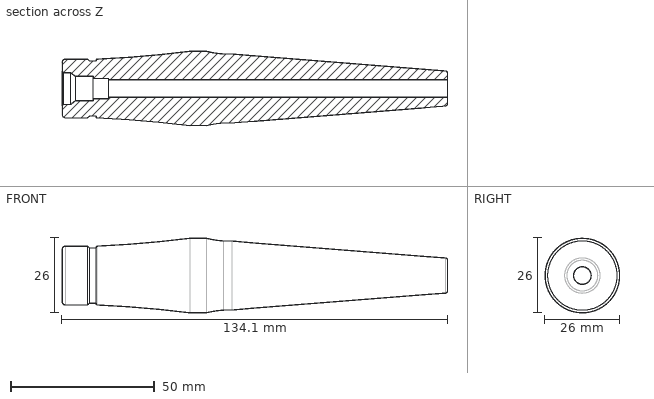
import cadquery as cq

length = 134.1
belly_radius = 26.0 / 2

collar_radius = 20.5 / 2
collar_rounding = 1.1
groove_radius = 19.3 / 2
groove_depth = collar_radius - groove_radius
collar_end = 8.8
groove_end = 11.8
groove_edge_rounding = 0.4
edge_search_margin = 0.1

belly_start = 44.4
belly_end = 50.1
neck_radius = 24.1 / 2
neck_start = 56.2
neck_end = 59.0
rear_flare_sag = 0.34
front_flare_sag = 0.1

tip_radius = 12.2 / 2
tip_rounding = 0.8

mouth_radius = 11.0 / 2
mouth_chamfer = 0.4
mouth_depth = 3.0
cone_end = 4.5
seat_radius = 8.5 / 2
seat_end = 10.7
step_radius = 7.0 / 2
step_end = 16.1
bore_radius = 6.0 / 2


def midpoint_with_sag(start, end, sag):
    """Point halfway between two outline points, moved towards the axis by sag."""
    return ((start[0] + end[0]) / 2, (start[1] + end[1]) / 2 - sag)


def make_body():
    flare_start = (groove_end, collar_radius)
    belly_rear = (belly_start, belly_radius)
    belly_front = (belly_end, belly_radius)
    neck_rear = (neck_start, neck_radius)
    outline = (
        cq.Workplane("XY")
        .lineTo(0, collar_radius - collar_rounding)
        .radiusArc((collar_rounding, collar_radius), collar_rounding)
        .lineTo(collar_end, collar_radius)
        .lineTo(collar_end + groove_depth, groove_radius)
        .lineTo(groove_end, groove_radius)
        .lineTo(*flare_start)
        .threePointArc(midpoint_with_sag(flare_start, belly_rear, rear_flare_sag), belly_rear)
        .lineTo(*belly_front)
        .threePointArc(midpoint_with_sag(belly_front, neck_rear, front_flare_sag), neck_rear)
        .lineTo(neck_end, neck_radius)
        .lineTo(length, tip_radius)
        .lineTo(length, 0)
        .close()
    )
    body = outline.revolve(360, (0, 0, 0), (1, 0, 0))
    body = body.faces(">X").edges().fillet(tip_rounding)
    groove_edge = cq.selectors.BoxSelector(
        (groove_end - edge_search_margin, -belly_radius, -belly_radius),
        (groove_end + edge_search_margin, belly_radius, belly_radius),
        boundingbox=True,
    )
    outer_edge = body.edges(groove_edge).edges(cq.selectors.RadiusNthSelector(-1))
    return outer_edge.fillet(groove_edge_rounding)


def make_bore():
    outline = (
        cq.Workplane("XY")
        .lineTo(0, mouth_radius + mouth_chamfer)
        .lineTo(mouth_chamfer, mouth_radius)
        .lineTo(mouth_depth, mouth_radius)
        .lineTo(cone_end, seat_radius)
        .lineTo(seat_end, seat_radius)
        .lineTo(seat_end, step_radius)
        .lineTo(step_end, step_radius)
        .lineTo(step_end, bore_radius)
        .lineTo(length, bore_radius)
        .lineTo(length, 0)
        .close()
    )
    return outline.revolve(360, (0, 0, 0), (1, 0, 0))


result = make_body().cut(make_bore())